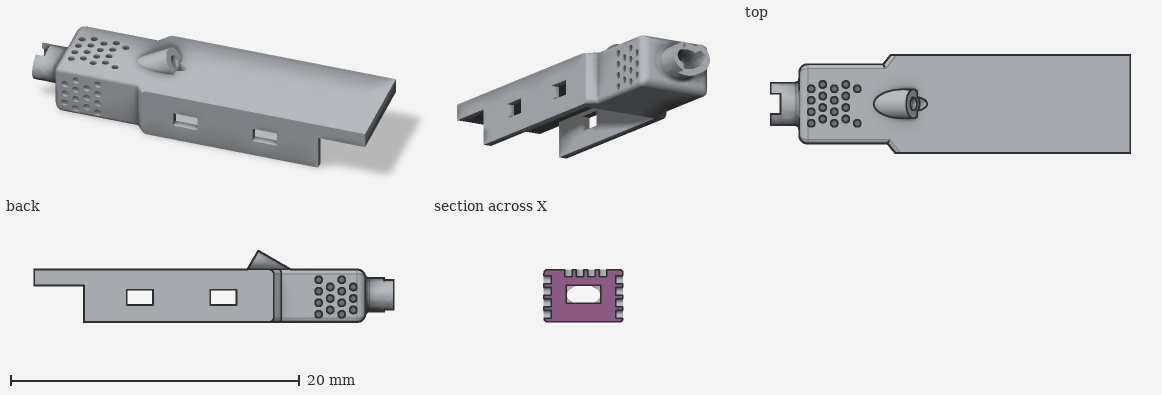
import cadquery as cq
import math

total_length = 24.9
housing_width = 6.8
body_height = 3.65
grip_width = 5.5
grip_start = 1.97
shoulder_run = 0.52
shoulder_start_front = 8.1
shoulder_start_back = 7.8
tongue_start = 21.46
tongue_bottom = 2.55
nose_fillet = 0.6
edge_fillet = 0.3

nozzle_center_z = 1.9
nozzle_width = 2.96
nozzle_height = 2.35
nozzle_root_fillet = 0.25
bore_width = 2.35
bore_height = 1.4
nozzle_slot_width = 1.4
nozzle_slot_depth = 0.67

passage_start = grip_start + nose_fillet
passage_floor = 1.32
cavity_start = 9.21
side_wall = 0.6

window_length = 1.8
window_height = 1.05
window_bottom = 1.2
window_starts = (10.9, 16.68)

dimple_diameter = 0.5
dimple_depth = 0.5
dimple_pitch = 0.8
dimple_start = 2.81
full_columns = 4
full_rows = 4
top_dimple_reach = 1.35
side_dimple_low = 0.55
side_dimple_shift = 0.3

boss_angle = 30.0
boss_diameter = 2.02
boss_hole_diameter = 0.9
boss_top = 4.95
boss_end_at_surface = 10.13
groove_diameter = 1.0
groove_depth = 0.35
groove_length = 1.25


def make_body():
    half_grip = grip_width / 2
    half_housing = housing_width / 2
    outline = [
        (grip_start, -half_grip),
        (shoulder_start_front, -half_grip),
        (shoulder_start_front + shoulder_run, -half_housing),
        (total_length, -half_housing),
        (total_length, half_housing),
        (shoulder_start_back + shoulder_run, half_housing),
        (shoulder_start_back, half_grip),
        (grip_start, half_grip),
    ]
    blank = cq.Workplane("XY").polyline(outline).close().extrude(body_height)

    body = blank.faces("<X").edges().fillet(nose_fillet)
    grip_region = cq.selectors.BoxSelector(
        (passage_start, -housing_width, -body_height),
        (shoulder_start_front + shoulder_run, housing_width, 2 * body_height),
    )
    body = body.faces("<Z or >Z").edges(grip_region).fillet(edge_fillet)

    return body.cut(block(tongue_start, total_length, housing_width, 0, tongue_bottom))


def block(start, end, width, bottom, top):
    """Box between two X and two Z positions, centred on Y = 0."""
    box = cq.Workplane("XY").box(end - start, width, top - bottom, centered=(False, True, False))
    return box.translate((start, 0, bottom))


def oval_prism(width, height, start, end):
    plane = cq.Workplane("YZ", origin=(start, 0, nozzle_center_z))
    return plane.ellipse(width / 2, height / 2).extrude(end - start)


def add_nozzle(body):
    """Join the oval nozzle and flare its root into the front of the grip."""
    joined = body.union(oval_prism(nozzle_width, nozzle_height, 0, passage_start))
    half_width = nozzle_width / 2 + nozzle_root_fillet
    half_height = nozzle_height / 2 + nozzle_root_fillet
    root_region = cq.selectors.BoxSelector(
        (grip_start - nozzle_root_fillet, -half_width, nozzle_center_z - half_height),
        (grip_start + nozzle_root_fillet, half_width, nozzle_center_z + half_height),
        boundingbox=True,
    )
    return joined.edges(root_region).fillet(nozzle_root_fillet)


def cut_interior(body):
    bore = oval_prism(bore_width, bore_height, 0, passage_start)
    slot = block(0, nozzle_slot_depth, nozzle_slot_width, 0, body_height)
    passage = block(passage_start, cavity_start, bore_width, passage_floor, tongue_bottom)
    cavity = block(cavity_start, tongue_start, housing_width - 2 * side_wall, 0, tongue_bottom)
    body = body.cut(bore).cut(slot).cut(passage).cut(cavity)
    for start in window_starts:
        window_top = window_bottom + window_height
        body = body.cut(block(start, start + window_length, housing_width, window_bottom, window_top))
    return body


tilt = math.radians(boss_angle)
boss_axis = cq.Vector(math.cos(tilt), 0, math.sin(tilt))
boss_plane = cq.Plane(
    origin=(boss_end_at_surface, 0, body_height), xDir=(0, 1, 0), normal=boss_axis.toTuple()
)
boss_rise = (boss_top - body_height) / math.cos(tilt) - boss_diameter / 2


def boss_cylinder(diameter, rise, length):
    """Cylinder along the boss axis, centred a distance up the end face from the body top."""
    return cq.Workplane(boss_plane).center(0, rise).circle(diameter / 2).extrude(length)


def add_boss(body):
    above_cavity = block(0, total_length, housing_width, tongue_bottom, boss_top)
    boss_length = boss_top / math.sin(tilt)
    boss = boss_cylinder(boss_diameter, boss_rise, -boss_length).intersect(above_cavity)

    hole_drop = body_height + boss_rise * math.cos(tilt) - nozzle_center_z
    hole = boss_cylinder(boss_hole_diameter, boss_rise, -hole_drop / math.sin(tilt))

    groove_rise = groove_diameter / 2 - groove_depth
    groove = boss_cylinder(groove_diameter, groove_rise, groove_length)
    return body.union(boss).cut(hole).cut(groove)


def dimple_position(column, row):
    """X of a column and distance of a row from the first row."""
    return dimple_start + column * dimple_pitch, row * dimple_pitch


def top_dimple_centers():
    """Columns start alternately from the -Y and +Y limits; the last one has only its end rows."""
    centers = []
    for column in range(full_columns):
        side = 1 if column % 2 else -1
        for row in range(full_rows):
            x, step = dimple_position(column, row)
            centers.append((x, side * (top_dimple_reach - step)))
    for row in (0, full_rows - 1):
        x, step = dimple_position(full_columns, row)
        centers.append((x, step - top_dimple_reach))
    return centers


def side_dimple_centers():
    """Columns alternate between three raised rows and four rows."""
    centers = []
    for column in range(full_columns):
        raised = column % 2 == 0
        rows = full_rows - 1 if raised else full_rows
        shift = side_dimple_shift if raised else 0
        for row in range(rows):
            x, step = dimple_position(column, row)
            centers.append((x, side_dimple_low + shift + step))
    return centers


def dimple_pins(plane, centers):
    return plane.pushPoints(centers).circle(dimple_diameter / 2).extrude(-dimple_depth)


def cut_dimples(body):
    top_plane = cq.Workplane("XY", origin=(0, 0, body_height))
    front_plane = cq.Workplane("XZ", origin=(0, -grip_width / 2, 0))
    top_pins = dimple_pins(top_plane, top_dimple_centers())
    side_pins = dimple_pins(front_plane, side_dimple_centers())
    return body.cut(top_pins).cut(side_pins).cut(side_pins.mirror("XZ"))


body = make_body()
body = add_nozzle(body)
body = cut_interior(body)
body = add_boss(body)
result = cut_dimples(body)